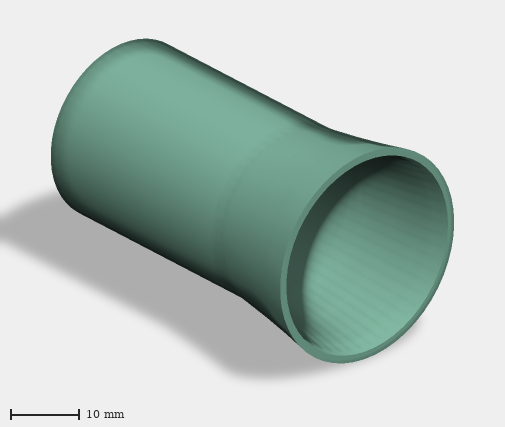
import cadquery as cq

length = 55.0
tube_outer_radius = 14.0
tube_inner_radius = 12.8
mouth_outer_diameter = 33.7
mouth_outer_radius = mouth_outer_diameter / 2
wall = tube_outer_radius - tube_inner_radius

tube_end = 36.2
neck_end = 39.5

neck_outer_radius = 14.3
mouth_bow = 0.15


def revolved_body(wall_offset):
    """Solid of revolution bounded by the outer surface moved radially inward by wall_offset."""
    tube_radius = tube_outer_radius - wall_offset
    neck_radius = neck_outer_radius - wall_offset
    mouth_radius = mouth_outer_radius - wall_offset
    mouth_middle = ((neck_end + length) / 2, (neck_radius + mouth_radius) / 2 - mouth_bow)
    return (
        cq.Workplane("XY")
        .moveTo(0, 0)
        .lineTo(0, tube_radius)
        .lineTo(tube_end, tube_radius)
        .tangentArcPoint((neck_end, neck_radius), relative=False)
        .threePointArc(mouth_middle, (length, mouth_radius))
        .lineTo(length, 0)
        .close()
        .revolve(360, (0, 0, 0), (1, 0, 0))
    )


result = revolved_body(0).cut(revolved_body(wall))